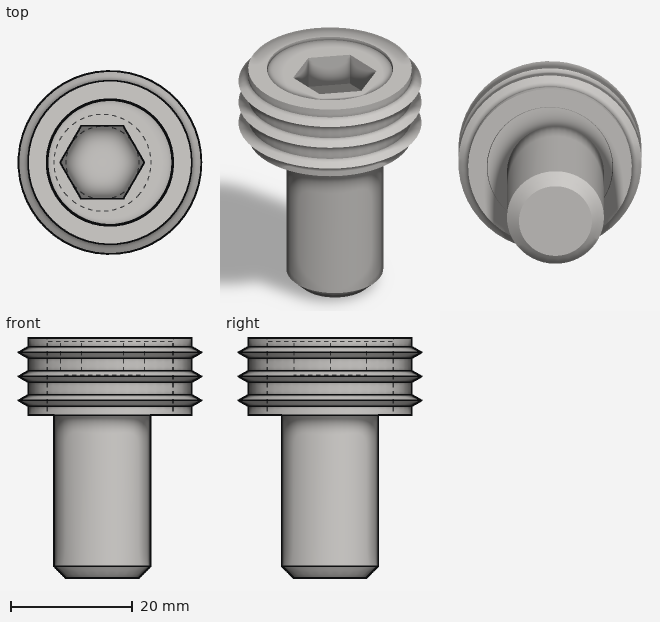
import cadquery as cq
import math

total_height = 39.52
collar_height = 12.7
collar_bottom = total_height - collar_height

collar_radius = 13.48
ridge_diameter = 30.15
ridge_radius = ridge_diameter / 2
ridge_count = 3
ridge_pitch = 3.95
ridge_angle = 60.0
ridge_half_height = (ridge_radius - collar_radius) * math.tan(math.radians(ridge_angle / 2))
lowest_crest = collar_bottom + (collar_height - (ridge_count - 1) * ridge_pitch) / 2
bore_radius = 10.4

head_clearance = 0.1
head_radius = bore_radius - head_clearance
head_recess = 0.55
head_top = total_height - head_recess
eccentricity = 1.25
shank_radius = 8.0
tip_chamfer = 1.98
socket_across_flats = 12.0
socket_across_corners = socket_across_flats / math.cos(math.radians(30))
socket_depth = 5.5


def make_collar():
    """Ring with V-shaped ridges around it and a plain through bore."""
    profile = cq.Workplane("XZ").moveTo(bore_radius, collar_bottom).lineTo(collar_radius, collar_bottom)
    for ridge in range(ridge_count):
        crest = lowest_crest + ridge * ridge_pitch
        profile = (
            profile.lineTo(collar_radius, crest - ridge_half_height)
            .lineTo(ridge_radius, crest)
            .lineTo(collar_radius, crest + ridge_half_height)
        )
    profile = profile.lineTo(collar_radius, total_height).lineTo(bore_radius, total_height).close()
    return profile.revolve(360, (0, 0, 0), (0, 1, 0))


def make_eccentric_pin():
    """Round head with an offset shank below it and a hex socket in line with the shank."""
    head = (
        cq.Workplane("XY")
        .workplane(offset=collar_bottom)
        .circle(head_radius)
        .extrude(head_top - collar_bottom)
    )
    shank = (
        cq.Workplane("XY")
        .center(-eccentricity, 0)
        .circle(shank_radius)
        .extrude(collar_bottom)
        .faces("<Z")
        .chamfer(tip_chamfer)
    )
    socket = (
        cq.Workplane("XY")
        .workplane(offset=head_top - socket_depth)
        .center(-eccentricity, 0)
        .polygon(6, socket_across_corners)
        .extrude(socket_depth)
    )
    return head.union(shank).cut(socket)


collar = make_collar()
eccentric_pin = make_eccentric_pin()

result = cq.Compound.makeCompound([collar.val(), eccentric_pin.val()])